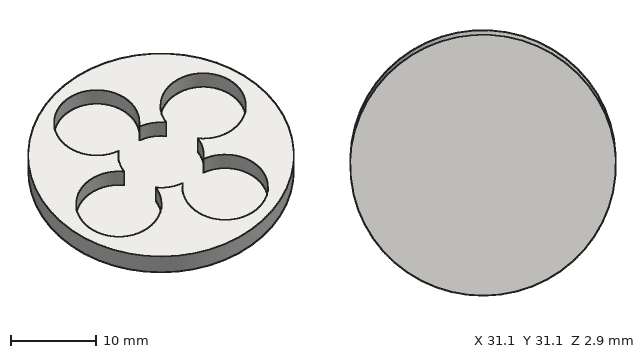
import cadquery as cq

disc_diameter = 31.1
disc_height = 2.9
floor_thickness = 0.4
pocket_diameter = 10.0
pocket_offset = 9.0

pocket_depth = disc_height - floor_thickness
pocket_centers = [
    (0, 0),
    (pocket_offset, 0),
    (0, pocket_offset),
    (-pocket_offset, 0),
    (0, -pocket_offset),
]


def make_disc():
    """Plain round disc standing on the XY plane."""
    return cq.Workplane("XY").circle(disc_diameter / 2).extrude(disc_height)


def make_pocket(center):
    """Cylinder that one pocket removes, from the floor up to the top face."""
    x, y = center
    return (
        cq.Workplane("XY", origin=(x, y, floor_thickness))
        .circle(pocket_diameter / 2)
        .extrude(pocket_depth)
    )


result = make_disc()
for pocket_center in pocket_centers:
    result = result.cut(make_pocket(pocket_center))